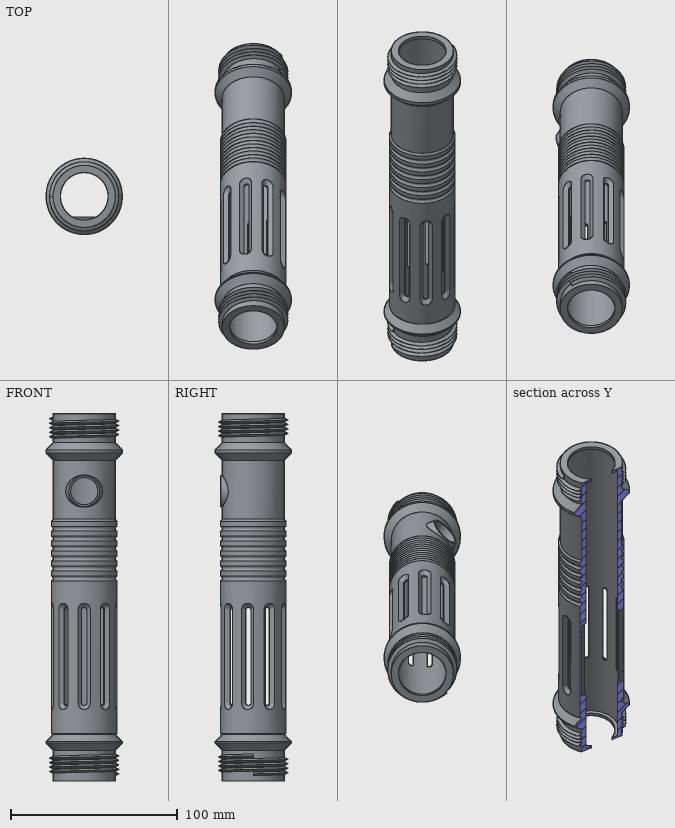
import cadquery as cq

length = 220.2
tube_radius = 37.2 / 2
grip_radius = 39.5 / 2
flange_radius = 45.8 / 2
lip_radius = 28.5 / 2
bore_radius = 32.8 / 2
lip_depth = 2.0

flange_cone_height = flange_radius - tube_radius
lower_flange_bottom = 18.5
lower_rim_width = 0.9
upper_flange_bottom = 192.2
upper_rim_width = 2.0

grip_top = 157.0
grip_top_chamfer = 1.3
grip_bottom_chamfer = 0.7
groove_count = 6
groove_pitch = 6.0
groove_width = groove_pitch / 2
groove_depth = 1.0
first_groove_bottom = 120.0

slot_count = 9
slot_bottom = 45.4
slot_top = 104.2
slot_width = 3.0
bevel_width = 2.5
bevel_depth = 2.6
bevel_clearance = 0.7

button_height = 173.7
button_hole_radius = 16.3 / 2
button_face_offset = 19.5
button_back_offset = 12.3
button_face_radius = 9.2
button_back_radius = 12.1

thread_turns = 4
thread_rise = 10.8
thread_crest_radius = 20.7
thread_base_width = 2.2
thread_root_overlap = 0.5
lower_thread_start = 4.5
upper_thread_start = 206.3


def make_body():
    """Solid of revolution: tube, both flanges and the grip."""
    lower_rim_bottom = lower_flange_bottom + flange_cone_height
    lower_rim_top = lower_rim_bottom + lower_rim_width
    grip_bottom = lower_rim_top + flange_cone_height
    upper_rim_bottom = upper_flange_bottom + flange_cone_height
    upper_rim_top = upper_rim_bottom + upper_rim_width
    outline = [
        (0, 0),
        (tube_radius, 0),
        (tube_radius, lower_flange_bottom),
        (flange_radius, lower_rim_bottom),
        (flange_radius, lower_rim_top),
        (tube_radius, grip_bottom),
        (grip_radius, grip_bottom + grip_bottom_chamfer),
        (grip_radius, grip_top - grip_top_chamfer),
        (tube_radius, grip_top),
        (tube_radius, upper_flange_bottom),
        (flange_radius, upper_rim_bottom),
        (flange_radius, upper_rim_top),
        (tube_radius, upper_rim_top + flange_cone_height),
        (tube_radius, length),
        (0, length),
    ]
    return cq.Workplane("XZ").polyline(outline).close().revolve(360, (0, 0), (0, 1))


def make_groove(bottom):
    """Ring with an arc-shaped section that cuts one grip groove."""
    return (
        cq.Workplane("XZ")
        .moveTo(grip_radius, bottom)
        .threePointArc(
            (grip_radius - groove_depth, bottom + groove_width / 2),
            (grip_radius, bottom + groove_width),
        )
        .close()
        .revolve(360, (0, 0), (0, 1))
    )


def make_slot():
    """Slot cutter that faces -Y: a straight slot that opens into a bevel."""
    middle = (slot_bottom + slot_top) / 2
    slot_length = slot_top - slot_bottom
    straight = (
        cq.Workplane("XZ", origin=(0, 0, middle))
        .slot2D(slot_length, slot_width, 90)
        .extrude(grip_radius)
    )
    reach = bevel_depth + bevel_clearance
    flare = reach * bevel_width / bevel_depth
    bevel = (
        cq.Workplane("XZ", origin=(0, bevel_depth - grip_radius, middle))
        .slot2D(slot_length, slot_width, 90)
        .workplane(offset=reach)
        .slot2D(slot_length + 2 * flare, slot_width + 2 * flare, 90)
        .loft(ruled=True)
    )
    return straight.union(bevel)


def make_button_boss():
    """Tapered boss, turned about an axis along Y."""
    outline = [
        (0, -button_face_offset),
        (button_face_radius, -button_face_offset),
        (button_back_radius, -button_back_offset),
        (0, -button_back_offset),
    ]
    boss = cq.Workplane("XY").polyline(outline).close().revolve(360, (0, 0), (0, 1))
    return boss.translate((0, 0, button_height))


def make_button_hole():
    """Round hole from the bore axis out through the boss face."""
    return (
        cq.Workplane("XZ", origin=(0, 0, button_height))
        .circle(button_hole_radius)
        .extrude(flange_radius)
    )


def make_bore():
    """Wide bore with a narrower lip at each end."""
    narrow = cq.Workplane("XY").circle(lip_radius).extrude(length)
    wide = (
        cq.Workplane("XY", origin=(0, 0, lip_depth))
        .circle(bore_radius)
        .extrude(length - 2 * lip_depth)
    )
    return wide.union(narrow)


def make_thread(start, start_angle):
    """Right-hand triangular thread rib, rooted slightly inside the tube."""
    root_radius = tube_radius - thread_root_overlap
    pitch = thread_rise / thread_turns
    path = cq.Wire.makeHelix(pitch, thread_rise, root_radius)
    crest_height = thread_crest_radius - tube_radius
    half_width = thread_base_width / 2 * (1 + thread_root_overlap / crest_height)
    section = cq.Workplane("XZ").polyline(
        [
            (root_radius, -half_width),
            (thread_crest_radius, 0),
            (root_radius, half_width),
        ]
    ).close()
    rib = section.sweep(cq.Workplane(path), isFrenet=True)
    return rib.rotate((0, 0, 0), (0, 0, 1), start_angle).translate((0, 0, start))


body = make_body()
for index in range(groove_count):
    body = body.cut(make_groove(first_groove_bottom + index * groove_pitch))

body = body.cut(make_bore())
body = body.union(make_button_boss()).cut(make_button_hole())

slot = make_slot()
for index in range(slot_count):
    body = body.cut(slot.rotate((0, 0, 0), (0, 0, 1), index * 360 / slot_count))

body = body.union(make_thread(lower_thread_start, 0))
result = body.union(make_thread(upper_thread_start, 180))